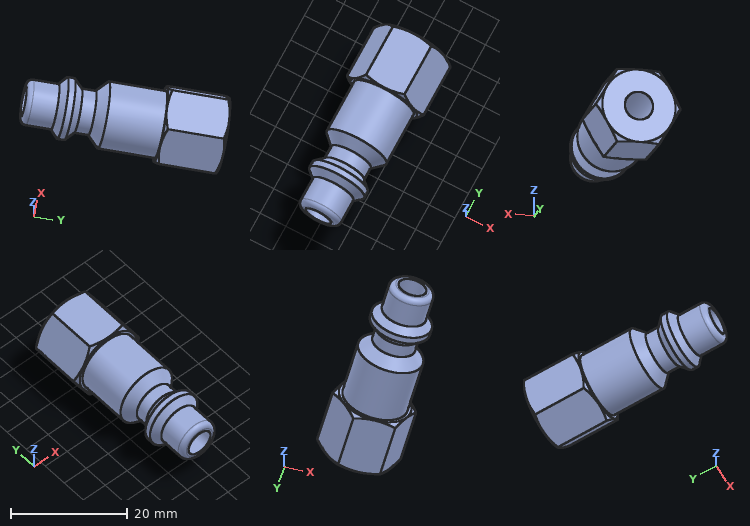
import cadquery as cq
import math

length = 35.0
hex_sides = 6
hex_flats = 13.0
hex_start = 24.0
hex_chamfer_angle = 30.0

collar_cone_start = 5.45
collar_start = 6.8
collar_end = 8.0
neck_start = 9.52
neck_end = 12.0
body_start = 14.0

tip_radius = 4.0
tip_rounding = 1.0
collar_radius = 5.42
neck_radius = 3.9
body_radius = 5.88
bore_radius = 2.5


def revolve_about_axis(profile):
    """Turn a closed (radius, Y) profile around the Y axis."""
    return profile.close().revolve(360, (0, 0, 0), (0, 1, 0))


def turned_plug():
    """Tip, locking collar, neck and body, ending at the hexagon."""
    arc_middle = (
        tip_radius - tip_rounding * (1 - math.sqrt(0.5)),
        tip_rounding * (1 - math.sqrt(0.5)),
    )
    profile = (
        cq.Workplane("XY")
        .lineTo(tip_radius - tip_rounding, 0)
        .threePointArc(arc_middle, (tip_radius, tip_rounding))
        .lineTo(tip_radius, collar_cone_start)
        .lineTo(collar_radius, collar_start)
        .lineTo(collar_radius, collar_end)
        .lineTo(neck_radius, neck_start)
        .lineTo(neck_radius, neck_end)
        .lineTo(body_radius, body_start)
        .lineTo(body_radius, hex_start)
        .lineTo(0, hex_start)
    )
    return revolve_about_axis(profile)


def chamfered_hexagon():
    """Hexagon with corners on X, its corners turned down conically at both ends."""
    corner_diameter = hex_flats / math.cos(math.pi / hex_sides)
    prism = (
        cq.Workplane("XZ", origin=(0, hex_start, 0))
        .polygon(hex_sides, corner_diameter)
        .extrude(-(length - hex_start))
    )
    face_radius = hex_flats / 2
    corner_radius = corner_diameter / 2
    chamfer_depth = (corner_radius - face_radius) * math.tan(math.radians(hex_chamfer_angle))
    envelope = (
        cq.Workplane("XY")
        .moveTo(0, hex_start)
        .lineTo(face_radius, hex_start)
        .lineTo(corner_radius, hex_start + chamfer_depth)
        .lineTo(corner_radius, length - chamfer_depth)
        .lineTo(face_radius, length)
        .lineTo(0, length)
    )
    return prism.intersect(revolve_about_axis(envelope))


bore = cq.Workplane("XZ").circle(bore_radius).extrude(-length)

result = turned_plug().union(chamfered_hexagon()).cut(bore)